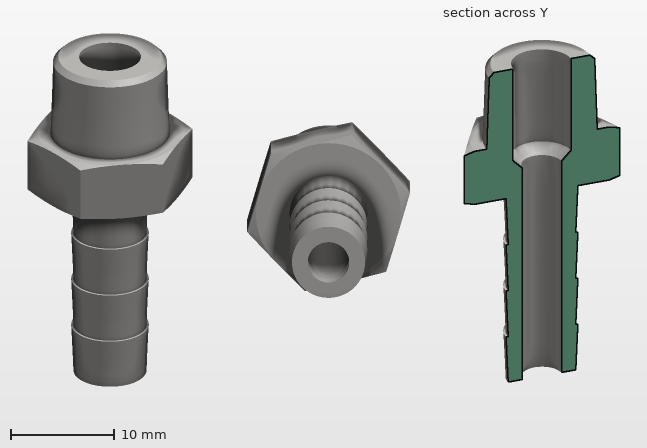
import cadquery as cq
import math

total_length = 34.0
barb_count = 4
barb_pitch = 5.0
hex_height = 5.8
hex_across_flats = 14.0

barb_wide_diameter = 7.5
barb_narrow_diameter = 7.07

spigot_base_diameter = 11.53
spigot_top_diameter = 11.0
spigot_chamfer = 0.5

bore_diameter = 4.0
mouth_diameter = 6.0
mouth_depth = 10.0

corner_chamfer_angle = 15.0

hex_bottom = barb_count * barb_pitch
hex_top = hex_bottom + hex_height
hex_across_corners = hex_across_flats / math.cos(math.radians(30))


def revolve_profile(points):
    """Revolve (radius, height) points around the Z axis."""
    return cq.Workplane("XZ").polyline(points).close().revolve(360, (0, 0, 0), (0, 1, 0))


def make_barb(bottom):
    top = bottom + barb_pitch
    return revolve_profile([
        (0, bottom),
        (barb_narrow_diameter / 2, bottom),
        (barb_wide_diameter / 2, top),
        (0, top),
    ])


def make_hexagon():
    """Hexagon with corners on X, its corners bevelled at both ends."""
    prism = (
        cq.Workplane("XY")
        .workplane(offset=hex_bottom)
        .polygon(6, hex_across_corners)
        .extrude(hex_height)
    )
    flat_radius = hex_across_flats / 2
    corner_radius = hex_across_corners / 2
    bevel = (corner_radius - flat_radius) * math.tan(math.radians(corner_chamfer_angle))
    envelope = revolve_profile([
        (0, hex_bottom),
        (flat_radius, hex_bottom),
        (corner_radius, hex_bottom + bevel),
        (corner_radius, hex_top - bevel),
        (flat_radius, hex_top),
        (0, hex_top),
    ])
    return prism.intersect(envelope)


def make_spigot():
    return revolve_profile([
        (0, hex_top),
        (spigot_base_diameter / 2, hex_top),
        (spigot_top_diameter / 2, total_length - spigot_chamfer),
        (spigot_top_diameter / 2 - spigot_chamfer, total_length),
        (0, total_length),
    ])


def make_bore():
    bore_radius = bore_diameter / 2
    mouth_radius = mouth_diameter / 2
    mouth_floor = total_length - mouth_depth
    cone_height = mouth_radius - bore_radius
    return revolve_profile([
        (0, 0),
        (bore_radius, 0),
        (bore_radius, mouth_floor - cone_height),
        (mouth_radius, mouth_floor),
        (mouth_radius, total_length),
        (0, total_length),
    ])


body = make_hexagon().union(make_spigot())
for barb_index in range(barb_count):
    body = body.union(make_barb(barb_index * barb_pitch))

result = body.cut(make_bore())